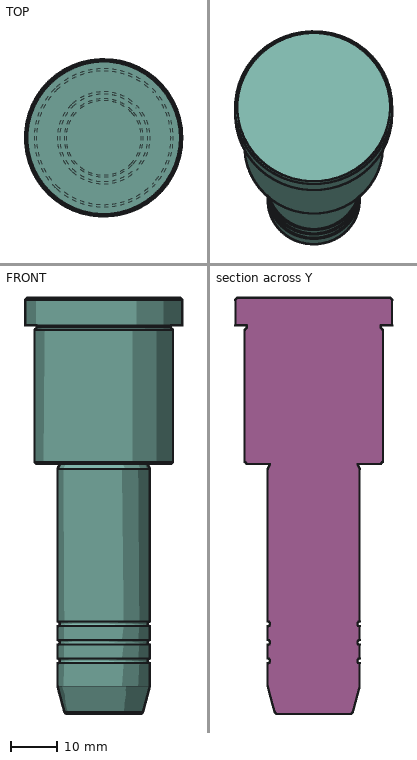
import cadquery as cq

total_length = 90.0
head_height = 6.0
head_radius = 17.0
body_length = 30.0
body_radius = 15.0
pin_radius = 10.0
edge_chamfer = 0.5

head_relief_width = 1.0
head_relief_depth = 0.5
pin_relief_width = 1.0
pin_relief_depth = 0.5

tip_length = 6.0
tip_radius = 8.5
tip_chamfer = 0.4

groove_count = 3
groove_pitch = 4.0
groove_radius = 0.5
lowest_groove_z = 11.5

head_bottom_z = total_length - head_height
body_bottom_z = head_bottom_z - body_length


def stepped_pin():
    """Revolve the half outline of head, body, pin and lead-in about Z."""
    outline = (
        cq.Workplane("XZ")
        .lineTo(tip_radius - tip_chamfer, 0)
        .lineTo(tip_radius, tip_chamfer)
        .lineTo(pin_radius, tip_length)
        .lineTo(pin_radius, body_bottom_z - pin_relief_width)
        .lineTo(pin_radius - pin_relief_depth, body_bottom_z)
        .lineTo(body_radius - edge_chamfer, body_bottom_z)
        .lineTo(body_radius, body_bottom_z + edge_chamfer)
        .lineTo(body_radius, head_bottom_z - head_relief_width)
        .lineTo(body_radius - head_relief_depth, head_bottom_z - head_relief_width + head_relief_depth)
        .lineTo(body_radius - head_relief_depth, head_bottom_z)
        .lineTo(head_radius, head_bottom_z)
        .lineTo(head_radius, total_length - edge_chamfer)
        .lineTo(head_radius - edge_chamfer, total_length)
        .lineTo(0, total_length)
        .close()
    )
    return outline.revolve(360, (0, 0, 0), (0, 1, 0))


def ring_groove(center_z):
    """Ring of round section that cuts one half-round groove into the pin."""
    section = cq.Workplane("XZ").center(pin_radius, center_z).circle(groove_radius)
    return section.revolve(360, (-pin_radius, 0, 0), (-pin_radius, 1, 0))


result = stepped_pin()
for index in range(groove_count):
    result = result.cut(ring_groove(lowest_groove_z + index * groove_pitch))